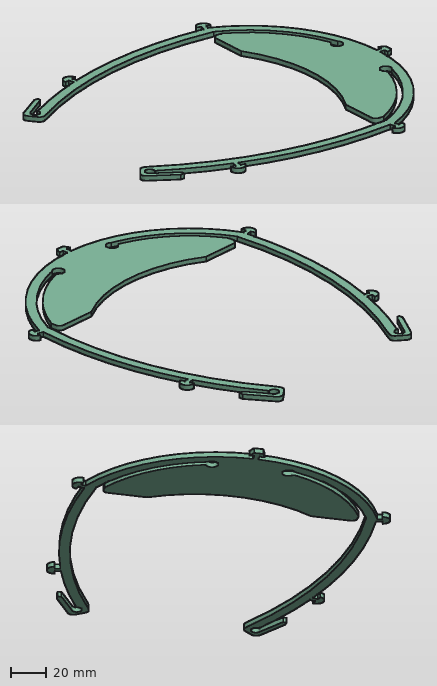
import cadquery as cq
import math

overall_width = 185.6
thickness = 3.0
top_y = 110.4

crown_center_y = 10.0
crown_radius = 93.1
slot_outer_radius = 87.0
plate_radius = 83.5
band_end_y = 46.4
plate_half_width = 74.2
plate_bottom_y = 41.7
plate_corner_radius = 3.3
crescent_top_y = 55.0
slot_hole_x = 22.3
slot_hole_y = 90.7
slot_hole_radius = 3.5
slot_lip_radius = 1.8

arm_center = (149.9, 19.9)
arm_outer_radius = 236.5
arm_width = 6.2
arm_inner_radius = arm_outer_radius - arm_width
arm_inner_end_y = -100.0
arm_outer_end_y = -100.2

clip_inner_corner = (-44.5, -104.5)
clip_outer_corner = (-54.3, -112.0)
clip_corner_radius = 3.3
tine_tip = [(-66.9, -92.7), (-66.9, -90.0), (-65.0, -90.0), (-64.0, -91.0)]
tine_root = (-54.5, -105.3)
clip_hole_center = (-52.3, -103.5)
clip_hole_radius = 2.9

hook_head_radius = 4.5
hook_stem_width = 3.0
hook_stem_length = 5.5
upper_hook_center = (hook_head_radius - overall_width / 2, 46.5)
upper_hook_angle = 165
lower_hook_center = (-76.5, -59.0)
lower_hook_angle = 195
top_hook_height = 4.0
top_hook_half_width = 4.5
top_hook_half_flat = 2.6


def block(x_min, x_max, y_min, y_max):
    return (
        cq.Workplane("XY")
        .box(x_max - x_min, y_max - y_min, thickness, centered=False)
        .translate((x_min, y_min, 0))
    )


def disc(x, y, radius):
    return cq.Workplane("XY").center(x, y).circle(radius).extrude(thickness)


def arm_point(radius, y):
    """Point at height y on the left side of an arm circle."""
    dy = y - arm_center[1]
    return (arm_center[0] - math.sqrt(radius**2 - dy**2), y)


def make_crown():
    outer = disc(0, crown_center_y, crown_radius)
    band = outer.cut(disc(0, crown_center_y, slot_outer_radius))
    band = band.intersect(block(-crown_radius, crown_radius, band_end_y, top_y))

    plate_blank = block(-plate_half_width, plate_half_width, plate_bottom_y, top_y)
    plate_blank = plate_blank.edges("|Z and <Y").fillet(plate_corner_radius)
    plate = plate_blank.intersect(disc(0, crown_center_y, plate_radius))
    plate = plate.cut(disc(0, crescent_top_y - crown_radius, crown_radius))

    bridge = outer.intersect(block(-slot_hole_x, slot_hole_x, slot_hole_y - slot_hole_radius, top_y))
    crown = band.union(plate).union(bridge)
    for side in (-1, 1):
        crown = crown.cut(disc(side * slot_hole_x, slot_hole_y, slot_hole_radius))

    lip_reach = slot_hole_radius + slot_lip_radius
    for side in (-1, 1):
        x_range = sorted((side * slot_hole_x, side * (slot_hole_x + lip_reach)))
        lip_box = cq.selectors.BoxSelector(
            (x_range[0], slot_hole_y - lip_reach, 0),
            (x_range[1], slot_hole_y, thickness),
        )
        crown = crown.edges("|Z").edges(lip_box).fillet(slot_lip_radius)
    return crown


def make_arm():
    middle_y = (band_end_y + arm_inner_end_y) / 2
    arm = (
        cq.Workplane("XY")
        .moveTo(*arm_point(arm_inner_radius, band_end_y))
        .threePointArc(
            arm_point(arm_inner_radius, middle_y),
            arm_point(arm_inner_radius, arm_inner_end_y),
        )
        .lineTo(*clip_inner_corner)
        .lineTo(*clip_outer_corner)
    )
    for point in tine_tip + [tine_root, arm_point(arm_outer_radius, arm_outer_end_y)]:
        arm = arm.lineTo(*point)
    arm = (
        arm.threePointArc(
            arm_point(arm_outer_radius, middle_y),
            arm_point(arm_outer_radius, band_end_y),
        )
        .close()
        .extrude(thickness)
    )
    for x, y in (clip_inner_corner, clip_outer_corner):
        corner = cq.selectors.NearestToPointSelector((x, y, thickness / 2))
        arm = arm.edges("|Z").edges(corner).fillet(clip_corner_radius)
    return arm.cut(disc(*clip_hole_center, clip_hole_radius))


def make_side_hook(center, angle):
    """Half-round head with a stem; the head bulges toward the given angle."""
    head = disc(0, 0, hook_head_radius).intersect(
        block(0, hook_head_radius, -hook_head_radius, hook_head_radius)
    )
    stem = block(-hook_stem_length, hook_head_radius / 2, -hook_stem_width / 2, hook_stem_width / 2)
    hook = head.union(stem)
    return hook.rotate((0, 0, 0), (0, 0, 1), angle).translate((*center, 0))


def make_top_hook():
    head_bottom_y = top_y - top_hook_height
    head = (
        cq.Workplane("XY")
        .polyline([
            (-top_hook_half_width, head_bottom_y),
            (-top_hook_half_flat, top_y),
            (top_hook_half_flat, top_y),
            (top_hook_half_width, head_bottom_y),
        ])
        .close()
        .extrude(thickness)
    )
    half_stem = hook_stem_width / 2
    crown_top_y = crown_center_y + crown_radius
    stem = block(-half_stem, half_stem, crown_top_y - hook_stem_width, top_y)
    return head.union(stem)


left_side = (
    make_arm()
    .union(make_side_hook(upper_hook_center, upper_hook_angle))
    .union(make_side_hook(lower_hook_center, lower_hook_angle))
)
right_side = left_side.mirror("YZ")
result = make_crown().union(left_side).union(right_side).union(make_top_hook())